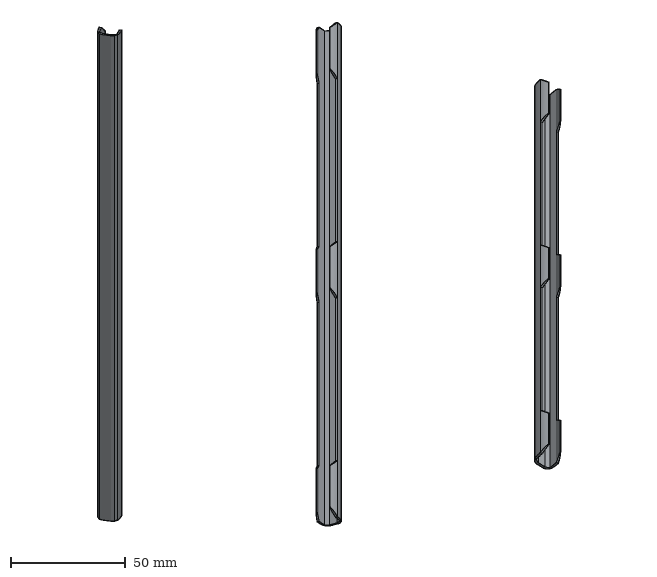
import cadquery as cq

width = 10.23
depth = 9.86
length = 240.0

half_width = width / 2
back = -depth / 2
tip = depth / 2
shoulder = 1.35

floor_edge = (2.1, back)
corner_low = (3.35, -4.53)
corner_high = (4.42, -3.3)
wall_foot = (4.75, -2.5)
wall_bulge = (5.0, -0.75)
wall_top = (half_width, shoulder)

floor_thickness = 1.05
inner_floor_edge = (1.9, back + floor_thickness)
inner_wall_foot = (3.9, -3.0)
inner_wall_top = (4.05, shoulder)

tab_tip_outer = (3.5, tip)
tab_tip_inner = (3.15, tip)
tab_bulge = (4.5, 3.2)
tab_root_length = 27.2
tab_slope = 3.6
end_tab_centre = (length - tab_root_length) / 2
tab_centres = (-end_tab_centre, 0.0, end_tab_centre)


def mirror_in_x(solid):
    """Join a +X half with its reflection across the YZ plane."""
    return solid.union(solid.mirror("YZ"))


def make_channel():
    """Full-length open channel, without the clip tabs."""
    right_half = (
        cq.Workplane("XY")
        .moveTo(0, back)
        .lineTo(*floor_edge)
        .lineTo(*corner_low)
        .lineTo(*corner_high)
        .lineTo(*wall_foot)
        .threePointArc(wall_bulge, wall_top)
        .lineTo(*inner_wall_top)
        .lineTo(*inner_wall_foot)
        .lineTo(*inner_floor_edge)
        .lineTo(0, back + floor_thickness)
        .close()
        .extrude(length / 2, both=True)
    )
    return mirror_in_x(right_half)


def make_lips():
    """Full-length pair of lips from which the clip tabs are taken."""
    right_lip = (
        cq.Workplane("XY")
        .moveTo(*inner_wall_top)
        .lineTo(*wall_top)
        .threePointArc(tab_bulge, tab_tip_outer)
        .lineTo(*tab_tip_inner)
        .close()
        .extrude(length / 2, both=True)
    )
    return mirror_in_x(right_lip)


def make_tab_outline(centre):
    """Trapezoidal block in Y and Z that bounds one pair of tabs."""
    half_root = tab_root_length / 2
    half_tip = half_root - tab_slope
    return (
        cq.Workplane("YZ")
        .polyline([
            (shoulder, centre - half_root),
            (shoulder, centre + half_root),
            (tip, centre + half_tip),
            (tip, centre - half_tip),
        ])
        .close()
        .extrude(half_width, both=True)
    )


lips = make_lips()
result = make_channel()
for tab_centre in tab_centres:
    result = result.union(lips.intersect(make_tab_outline(tab_centre)))